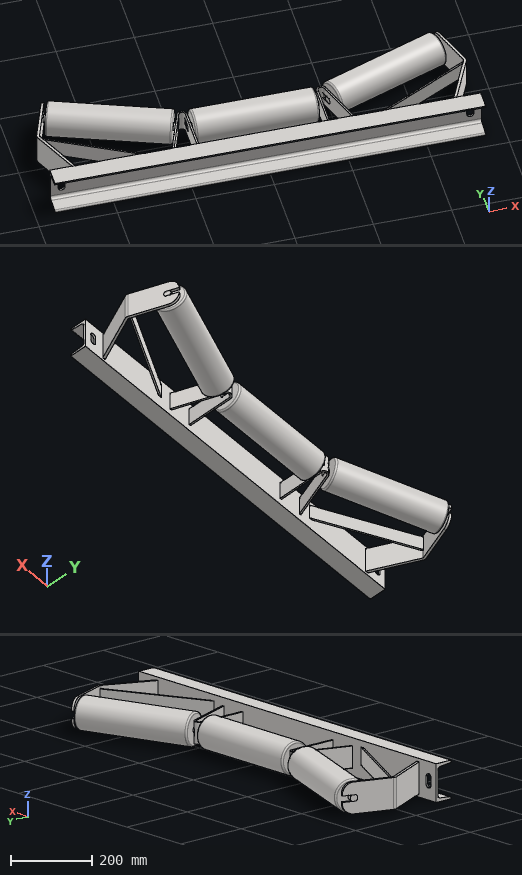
import cadquery as cq
import math


channel_length = 1100.0
channel_height = 100.0
channel_depth = channel_height / 2
web_thickness = 6.0
flange_mid_thickness = 8.5
flange_slope = 0.08
flange_root_radius = 8.2
flange_tip_radius = 4.0
mounting_slot_width = 18.0
mounting_slot_height = 36.0
mounting_slot_inset = 29.0
selection_margin = 1.0

roller_diameter = 89.0
roller_length = 316.0
roller_edge_radius = 4.0
trough_angle = 20.0
center_roller_height = 114.0
side_roller_x = 350.0
side_roller_y = 179.0
shaft_diameter = 20.0
shaft_flat_width = 16.0
shaft_gap = 7.0

outer_bracket_width = 82.0
inner_bracket_width = 57.0
inner_sheet = 5.0
inner_bend_radius = 8.2
outer_plate = 8.0
outer_knee_radius = 5.0
outer_knee_drop = 109.0
outer_tip_rise = 31.0
outer_tip_radius = 30.0
outer_foot_angle = 25.0

brace_thickness = 5.0
brace_width = 46.0
brace_top = 33.0
brace_angle = 27.0

half_roller = roller_length / 2
support_face = half_roller + shaft_gap
sine = math.sin(math.radians(trough_angle))
cosine = math.cos(math.radians(trough_angle))


def side_point(along, across):
    """Point of the left roller frame: 'along' runs down its axis, 'across' points up from it."""
    return (
        -side_roller_x + along * cosine + across * sine,
        side_roller_y - along * sine + across * cosine,
    )


def place_left(body):
    """Move a body built around the X axis to the axis of the left roller."""
    return body.rotate((0, 0, 0), (0, 0, 1), -trough_angle).translate((-side_roller_x, side_roller_y, 0))


def place_center(body):
    """Move a body built around the X axis to the axis of the center roller."""
    return body.translate((0, center_roller_height, 0))


def prism(points, top, width):
    """Flat-sided bar with an outline in the XY plane, reaching down by its width from Z = top."""
    return cq.Workplane("XY", origin=(0, 0, top - width)).polyline(points).close().extrude(width)


def flange_corners(depth):
    """Selector for the two lengthwise edges on the inner flange faces at this distance from the web's back."""
    reach = channel_height / 2 - flange_mid_thickness / 2
    return cq.selectors.BoxSelector(
        (-11, -depth - selection_margin, -reach),
        (11, -depth + selection_margin, reach),
    )


def make_channel():
    half_height = channel_height / 2
    taper = flange_slope * channel_depth / 2
    root_z = half_height - flange_mid_thickness - taper
    tip_z = half_height - flange_mid_thickness + taper
    outline = [
        (0, -half_height),
        (-channel_depth, -half_height),
        (-channel_depth, -tip_z),
        (-web_thickness, -root_z),
        (-web_thickness, root_z),
        (-channel_depth, tip_z),
        (-channel_depth, half_height),
        (0, half_height),
    ]
    start = (-channel_length / 2, 0, 0)
    channel = cq.Workplane("YZ", origin=start).polyline(outline).close().extrude(channel_length)
    channel = channel.edges(flange_corners(web_thickness)).fillet(flange_root_radius)
    channel = channel.edges(flange_corners(channel_depth)).fillet(flange_tip_radius)
    slot_x = channel_length / 2 - mounting_slot_inset
    slots = (
        cq.Workplane("XZ")
        .pushPoints([(-slot_x, 0), (slot_x, 0)])
        .slot2D(mounting_slot_height, mounting_slot_width, 90)
        .extrude(channel_depth)
    )
    return channel.cut(slots)


def shaft_end(start, length):
    """Flattened shaft end along X, starting at 'start'."""
    round_bar = cq.Workplane("YZ", origin=(start, 0, 0)).circle(shaft_diameter / 2).extrude(length)
    flats = cq.Workplane("YZ", origin=(start, 0, 0)).rect(shaft_diameter, shaft_flat_width).extrude(length)
    return round_bar.intersect(flats)


def make_roller(left_support, right_support):
    """Roller along X; the supports are the plate thicknesses its shaft ends pass through."""
    tube = (
        cq.Workplane("YZ", origin=(-half_roller, 0, 0))
        .circle(roller_diameter / 2)
        .extrude(roller_length)
        .edges()
        .fillet(roller_edge_radius)
    )
    shaft_start = (-support_face, 0, 0)
    shaft = cq.Workplane("YZ", origin=shaft_start).circle(shaft_diameter / 2).extrude(2 * support_face)
    left_end = shaft_end(-support_face - left_support, left_support)
    right_end = shaft_end(support_face, right_support)
    return tube.union(shaft).union(left_end).union(right_end)


def shaft_slot(start, length):
    """Cutter for an open slot along X: the shaft end shape, carried on upward."""
    opening = cq.Workplane("XY").box(length, roller_diameter, shaft_flat_width, centered=(False, False, True))
    return shaft_end(start, length).union(opening.translate((start, 0, 0)))


def make_inner_bracket():
    outer_radius = inner_bend_radius + inner_sheet
    upright_x = -support_face
    bend_x = upright_x - outer_radius
    face_x, face_y = side_point(support_face, 0)
    bend_y = face_y + (bend_x - outer_radius / cosine - face_x) * cosine / sine

    def leg_point(radius, y):
        """Point at height y on the sloped line tangent to the bend at this radius."""
        return (bend_x - radius / cosine + (y - bend_y) * sine / cosine, y)

    def bend_point(radius, angle):
        turn = math.radians(angle)
        return (bend_x + radius * math.cos(turn), bend_y + radius * math.sin(turn))

    tangent_angle = 180 - trough_angle
    mid_angle = tangent_angle / 2
    bracket = (
        cq.Workplane("XY", origin=(0, 0, -inner_bracket_width / 2))
        .moveTo(upright_x, 0)
        .lineTo(upright_x, bend_y)
        .threePointArc(bend_point(outer_radius, mid_angle), bend_point(outer_radius, tangent_angle))
        .lineTo(*leg_point(outer_radius, 0))
        .lineTo(*leg_point(inner_bend_radius, 0))
        .lineTo(*bend_point(inner_bend_radius, tangent_angle))
        .threePointArc(bend_point(inner_bend_radius, mid_angle), (upright_x - inner_sheet, bend_y))
        .lineTo(upright_x - inner_sheet, 0)
        .close()
        .extrude(inner_bracket_width)
    )
    center_slot = place_center(shaft_slot(-support_face - inner_sheet, inner_sheet))
    side_slot = place_left(shaft_slot(support_face, inner_sheet))
    return bracket.cut(center_slot).cut(side_slot)


knee_half_angle = math.radians(trough_angle + outer_foot_angle) / 2
plate_middle = -support_face - outer_plate / 2


def knee_point(offset):
    """Corner of the knee at a distance from the plate's middle, positive toward the roller."""
    return side_point(plate_middle + offset, -outer_knee_drop + offset * math.tan(knee_half_angle))


def foot_point(offset):
    x, y = knee_point(offset)
    return (x + y * math.tan(math.radians(outer_foot_angle)), 0)


def make_outer_bracket():
    half_plate = outer_plate / 2
    outline = [
        foot_point(-half_plate),
        knee_point(-half_plate),
        side_point(plate_middle - half_plate, outer_tip_rise),
        side_point(plate_middle + half_plate, outer_tip_rise),
        knee_point(half_plate),
        foot_point(half_plate),
    ]
    bracket = prism(outline, outer_bracket_width / 2, outer_bracket_width)
    for offset, radius in ((half_plate, outer_knee_radius), (-half_plate, outer_knee_radius + outer_plate)):
        x, y = knee_point(offset)
        bracket = bracket.edges(cq.selectors.NearestToPointSelector((x, y, 0))).fillet(radius)
    tip_x, tip_y = side_point(plate_middle, outer_tip_rise)
    for side in (-outer_bracket_width / 2, outer_bracket_width / 2):
        corner = cq.selectors.NearestToPointSelector((tip_x, tip_y, side))
        bracket = bracket.edges(corner).fillet(outer_tip_radius)
    return bracket.cut(place_left(shaft_slot(-support_face - outer_plate, outer_plate)))


def make_brace(bracket):
    knee_x, knee_y = knee_point(outer_plate / 2)
    slope = math.tan(math.radians(brace_angle))
    half_drop = brace_thickness / 2 / math.cos(math.radians(brace_angle))
    outline = [
        (knee_x, knee_y - half_drop),
        (knee_x, knee_y + half_drop),
        (knee_x + (knee_y + half_drop) / slope, 0),
        (knee_x + (knee_y - half_drop) / slope, 0),
    ]
    return prism(outline, brace_top, brace_width).cut(bracket)


channel = make_channel()
center_roller = place_center(make_roller(inner_sheet, inner_sheet))
left_roller = place_left(make_roller(outer_plate, inner_sheet))
inner_bracket = make_inner_bracket()
outer_bracket = make_outer_bracket()
brace = make_brace(outer_bracket)

left_bodies = [left_roller, inner_bracket, outer_bracket, brace]
right_bodies = [body.mirror("YZ") for body in left_bodies]
bodies = [channel, center_roller] + left_bodies + right_bodies
result = cq.Compound.makeCompound([body.val() for body in bodies])